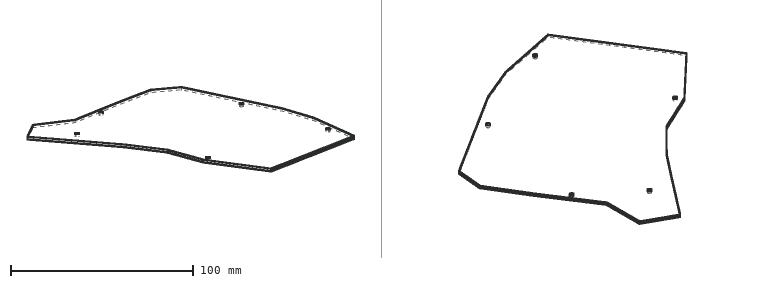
import cadquery as cq

LENGTH = 155.19
WIDTH = 127.28
THICKNESS = 1.6
HOLE_DIAMETER = 2.2

LEFT = -LENGTH / 2
RIGHT = LENGTH / 2
BACK = WIDTH / 2
FRONT = -WIDTH / 2

LEFT_SIDE = -66.05

FRONT_EDGE = [
    (-66.45, FRONT),
    (-34.1, -51.2),
    (-14.9, -43.95),
    (10.2, -37.95),
    (37.6, -41.55),
]
RIGHT_EDGE = [
    (RIGHT, -33.35),
    (76.65, 44.45),
]
BACK_EDGE = [
    (38.1, 59.35),
    (13.8, BACK),
    (-55.7, BACK),
]
LEFT_EDGE = [
    (LEFT_SIDE, 49.4),
    (LEFT_SIDE, 19.0),
    (-64.9, -21.75),
    (LEFT, -43.4),
]

HOLE_CENTRES = [
    (-10.4, 57.9),
    (56.75, 47.1),
    (-62.15, -1.45),
    (-48.45, -42.1),
    (36.85, -36.55),
]


def make_plate():
    """Flat sheet with the irregular straight-sided outline."""
    outline = FRONT_EDGE + RIGHT_EDGE + BACK_EDGE + LEFT_EDGE
    return cq.Workplane("XY").polyline(outline).close().extrude(THICKNESS)


def drill_mounting_holes(plate):
    """Plain through holes, all of one diameter."""
    top_face = plate.faces(">Z").workplane(origin=(0, 0, THICKNESS))
    return top_face.pushPoints(HOLE_CENTRES).hole(HOLE_DIAMETER)


result = drill_mounting_holes(make_plate())